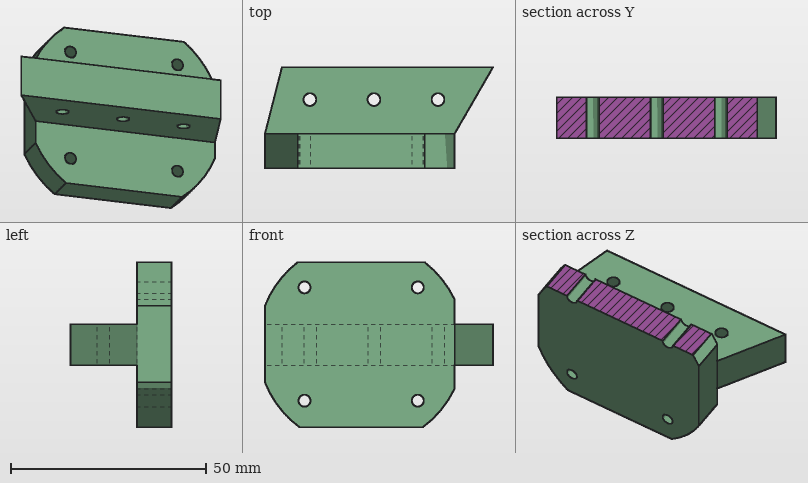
import cadquery as cq
import math

plate_thickness = 8.88
disc_radius = 26.53
plate_left = -24.65
plate_right = 23.95
plate_bottom = -21.36
plate_top = 20.98
plate_width = plate_right - plate_left
plate_height = plate_top - plate_bottom

plate_hole_spacing = 29.0
plate_hole_diameter = 3.0

block_depth = 17.04
block_height = 10.57
block_left_inset = 4.35
block_right_slope = 30.0
block_right_overhang = block_depth * math.tan(math.radians(block_right_slope))
block_bottom = (plate_bottom + plate_top - block_height) / 2
total_depth = plate_thickness + block_depth

block_hole_count = 3
block_hole_spacing = 16.4
block_hole_diameter = 3.2
block_hole_setback = 8.3
block_hole_middle_x = 3.27


def make_plate():
    """Disc with its front face on Y = 0, trimmed by a rectangle."""
    disc = cq.Workplane("XZ").circle(disc_radius).extrude(-plate_thickness)
    trim = cq.Workplane("XY").box(
        plate_width, plate_thickness, plate_height, centered=False
    ).translate((plate_left, 0, plate_bottom))
    return disc.intersect(trim)


def make_plate_holes():
    """Cutters through the plate, running along Y."""
    return (
        cq.Workplane("XZ")
        .rect(plate_hole_spacing, plate_hole_spacing, forConstruction=True)
        .vertices()
        .circle(plate_hole_diameter / 2)
        .extrude(-plate_thickness)
    )


def make_block():
    """Four-sided block whose two ends both lean towards +X."""
    return (
        cq.Workplane("XY", origin=(0, 0, block_bottom))
        .moveTo(plate_left, plate_thickness)
        .lineTo(plate_right, plate_thickness)
        .lineTo(plate_right + block_right_overhang, total_depth)
        .lineTo(plate_left + block_left_inset, total_depth)
        .close()
        .extrude(block_height)
    )


def make_block_holes():
    """Cutters through the block, in a row along X."""
    first_x = -block_hole_spacing * (block_hole_count - 1) / 2
    hole_positions = [(first_x + i * block_hole_spacing, 0) for i in range(block_hole_count)]
    row_center = (block_hole_middle_x, total_depth - block_hole_setback, block_bottom)
    return (
        cq.Workplane("XY", origin=row_center)
        .pushPoints(hole_positions)
        .circle(block_hole_diameter / 2)
        .extrude(block_height)
    )


plate = make_plate().cut(make_plate_holes())
block = make_block().cut(make_block_holes())
result = plate.union(block)